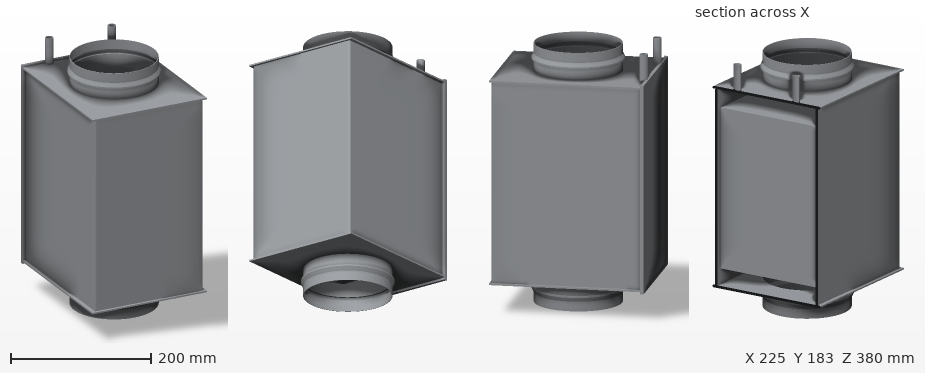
import cadquery as cq

TOTAL_LENGTH = 225.0
TOTAL_WIDTH = 183.0
TOTAL_HEIGHT = 380.0
X_MIN = -TOTAL_LENGTH / 2
X_MAX = TOTAL_LENGTH / 2
Z_MAX = TOTAL_HEIGHT / 2

COVER_THICKNESS = 5.0
COVER_HEIGHT = 306.3
COVER_INNER_X = X_MIN + COVER_THICKNESS

END_PLATE_TOP = 150.0
END_PLATE_THICKNESS = 2.3
END_PLATE_BOTTOM = END_PLATE_TOP - END_PLATE_THICKNESS
SKIN_OVERHANG_X = 2.5
SKIN_OVERHANG_Y = 4.5
SKIN_THICKNESS = 1.0
SKIN_MARGIN = 1.0
SKIN_BEND_RADIUS = 3.0
WALL_THICKNESS = 1.0
SKIN_MAX_X = X_MAX - SKIN_OVERHANG_X
SKIN_MAX_Y = TOTAL_WIDTH / 2 - SKIN_OVERHANG_Y
WALL_MAX_X = SKIN_MAX_X - SKIN_THICKNESS
WALL_MAX_Y = SKIN_MAX_Y - SKIN_THICKNESS
CAVITY_MAX_X = WALL_MAX_X - WALL_THICKNESS
CAVITY_MAX_Y = WALL_MAX_Y - WALL_THICKNESS

CORE_MIN_X = -96.0
CORE_MAX_X = 100.7
CORE_BOTTOM = -124.0
CORE_TOP = 117.0

COLLAR_X = 0.5
COLLAR_RADIUS = 64.0
COLLAR_WALL = 1.0
BEAD_HEIGHT = 3.0
BEAD_CONE_OUTER = 175.5
BEAD_CONE_INNER = 169.5
BEAD_BOTTOM = 167.2

PIPE_RADIUS = 6.0
PIPE_WALL = 1.0
PIPE_X = -105.0
PIPE_Y = 50.0


def block(x_range, y_range, z_range):
    """Box given by its lower and upper bound along each axis."""
    (x0, x1), (y0, y1), (z0, z1) = x_range, y_range, z_range
    return cq.Workplane("XY").box(x1 - x0, y1 - y0, z1 - z0, centered=False).translate((x0, y0, z0))


def both_sides(limit):
    """Range that is symmetric about zero."""
    return (-limit, limit)


def make_pipe(y):
    """Open tube from the top end plate up to the overall top."""
    return (
        cq.Workplane("XY", origin=(PIPE_X, y, END_PLATE_TOP))
        .circle(PIPE_RADIUS)
        .circle(PIPE_RADIUS - PIPE_WALL)
        .extrude(Z_MAX - END_PLATE_TOP)
    )


def make_cover(pipes):
    """Flat cover with a shallow ring recess where each pipe reaches into its upper edge."""
    cover = block((X_MIN, COVER_INNER_X), both_sides(TOTAL_WIDTH / 2), both_sides(COVER_HEIGHT / 2))
    for pipe in pipes:
        cover = cover.cut(pipe)
    return cover


def make_housing():
    """Hollow case, open towards the cover and at both collars."""
    plates = block((COVER_INNER_X, X_MAX), both_sides(TOTAL_WIDTH / 2), both_sides(END_PLATE_TOP))
    gap = block((COVER_INNER_X, X_MAX), both_sides(TOTAL_WIDTH / 2), both_sides(END_PLATE_BOTTOM))
    walls = block((COVER_INNER_X, WALL_MAX_X), both_sides(WALL_MAX_Y), both_sides(END_PLATE_BOTTOM))
    skin = block(
        (COVER_INNER_X + SKIN_MARGIN, SKIN_MAX_X),
        both_sides(SKIN_MAX_Y),
        both_sides(END_PLATE_BOTTOM - SKIN_MARGIN),
    )
    skin = skin.faces(">X").edges("|Z").fillet(SKIN_BEND_RADIUS)
    cavity = block((COVER_INNER_X, CAVITY_MAX_X), both_sides(CAVITY_MAX_Y), both_sides(END_PLATE_BOTTOM))
    duct_opening = (
        cq.Workplane("XY")
        .center(COLLAR_X, 0)
        .circle(COLLAR_RADIUS - COLLAR_WALL)
        .extrude(END_PLATE_TOP, both=True)
    )
    return plates.cut(gap).union(walls).union(skin).cut(cavity).cut(duct_opening)


def make_core():
    """Plain block held between the two Y walls of the housing."""
    return block((CORE_MIN_X, CORE_MAX_X), both_sides(CAVITY_MAX_Y), (CORE_BOTTOM, CORE_TOP))


def make_collar():
    """Top collar: constant-wall sheet profile revolved about the duct axis."""
    outer = COLLAR_RADIUS
    inner = outer - COLLAR_WALL
    bead_outer = outer + BEAD_HEIGHT
    bead_inner = bead_outer - COLLAR_WALL
    profile = [
        (inner, END_PLATE_TOP),
        (outer, END_PLATE_TOP),
        (outer, BEAD_BOTTOM),
        (bead_outer, BEAD_BOTTOM),
        (bead_outer, BEAD_CONE_INNER),
        (outer, BEAD_CONE_OUTER),
        (outer, Z_MAX),
        (inner, Z_MAX),
        (inner, BEAD_CONE_OUTER),
        (bead_inner, BEAD_CONE_INNER),
        (bead_inner, BEAD_BOTTOM + COLLAR_WALL),
        (inner, BEAD_BOTTOM + COLLAR_WALL),
    ]
    collar = cq.Workplane("XZ").polyline(profile).close().revolve(360, (0, 0, 0), (0, 1, 0))
    return collar.translate((COLLAR_X, 0, 0))


pipes = [make_pipe(y) for y in (-PIPE_Y, PIPE_Y)]
cover = make_cover(pipes)
housing = make_housing()
core = make_core()
top_collar = make_collar()
collars = [top_collar, top_collar.mirror("XY")]

bodies = [housing, cover, core, *collars, *pipes]
result = cq.Compound.makeCompound([body.solids().val() for body in bodies])